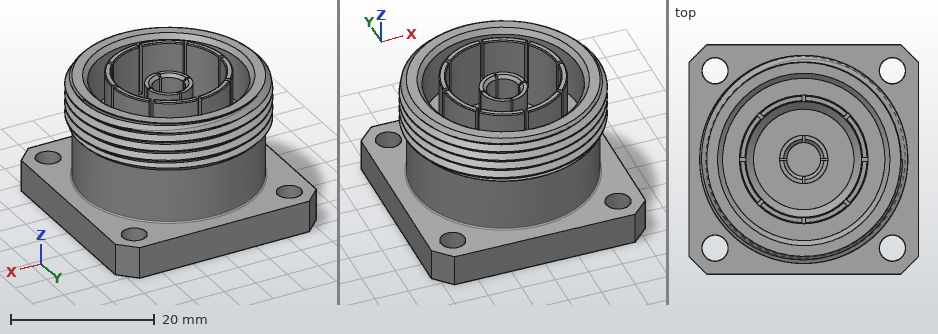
import cadquery as cq
import math

flange_side = 32.0
flange_height = 4.9
flange_corner = 2.5
mount_hole_diameter = 3.61
mount_hole_spacing = 24.7

barrel_diameter = 27.0
barrel_fillet = 0.2
barrel_top = 20.85
mouth_diameter = 22.61
mouth_chamfer = 0.7
mouth_floor = 13.2

thread_diameter = 29.0
thread_pitch = 1.5
thread_depth = 0.92
thread_crest_flat = thread_pitch / 8
thread_flank_angle = math.radians(30)
thread_bottom = 13.3
thread_crest_start = 12.12
thread_overlap = 0.15

contact_outer_diameter = 17.91
contact_inner_diameter = 16.1
contact_top = 21.49
contact_edge_chamfer = 0.15
contact_slot_count = 8
contact_slot_width = 0.55
contact_slot_bottom = 13.8
contact_floor = 10.0
contact_floor_diameter = 14.0

pin_diameter = 6.73
pin_bore_diameter = 4.7
pin_bore_chamfer = 0.46
pin_top = 19.6
pin_slot_count = 4
pin_slot_width = 0.28
pin_slot_depth = 7.0


def cylinder(diameter, bottom, top):
    """Upright cylinder on the Z axis between two heights."""
    return cq.Workplane("XY").workplane(offset=bottom).circle(diameter / 2).extrude(top - bottom)


def make_flange():
    plate = cq.Workplane("XY").rect(flange_side, flange_side).extrude(flange_height)
    plate = plate.edges("|Z").chamfer(flange_corner)
    return (
        plate.faces(">Z")
        .workplane()
        .rect(mount_hole_spacing, mount_hole_spacing, forConstruction=True)
        .vertices()
        .hole(mount_hole_diameter)
    )


def make_thread():
    """Helical ridge on a core, trimmed to the thread length with 45 degree ends."""
    root_radius = thread_diameter / 2 - thread_depth - thread_overlap
    crest_radius = thread_diameter / 2
    depth = crest_radius - root_radius
    half_crest = thread_crest_flat / 2
    half_root = half_crest + depth * math.tan(thread_flank_angle)
    turns = math.ceil((barrel_top - thread_crest_start) / thread_pitch) + 1

    helix = cq.Wire.makeHelix(thread_pitch, turns * thread_pitch, root_radius)
    ridge = (
        cq.Workplane("XZ")
        .polyline(
            [
                (root_radius, -half_root),
                (crest_radius, -half_crest),
                (crest_radius, half_crest),
                (root_radius, half_root),
            ]
        )
        .close()
        .sweep(cq.Workplane(helix), isFrenet=True)
        .translate((0, 0, thread_crest_start - thread_pitch))
    )

    end_chamfer = (thread_diameter - barrel_diameter) / 2
    envelope = cylinder(thread_diameter + 2 * thread_overlap, thread_bottom, barrel_top)
    envelope = envelope.faces("<Z or >Z").edges().chamfer(end_chamfer + thread_overlap)
    core = cylinder(thread_diameter - 2 * thread_depth, thread_bottom, barrel_top)
    return core.intersect(envelope).union(ridge.intersect(envelope))


def make_barrel():
    """Barrel with a small fillet where it meets the flange."""
    foot_radius = barrel_diameter / 2 + barrel_fillet
    barrel_radius = barrel_diameter / 2
    fillet_middle = barrel_fillet * (1 - math.sqrt(0.5))
    return (
        cq.Workplane("XZ")
        .lineTo(foot_radius, 0)
        .lineTo(foot_radius, flange_height)
        .threePointArc(
            (barrel_radius + fillet_middle, flange_height + fillet_middle),
            (barrel_radius, flange_height + barrel_fillet),
        )
        .lineTo(barrel_radius, barrel_top)
        .lineTo(0, barrel_top)
        .close()
        .revolve(360, (0, 0), (0, 1))
    )


def make_mouth():
    """Cutter for the bore of the barrel and its chamfered rim."""
    bore = cylinder(mouth_diameter, mouth_floor, barrel_top)
    rim = (
        cq.Workplane("XY")
        .workplane(offset=barrel_top)
        .circle(mouth_diameter / 2 + mouth_chamfer)
        .workplane(offset=-mouth_chamfer)
        .circle(mouth_diameter / 2)
        .loft()
    )
    return bore.union(rim)


def make_slots(count, width, length, bottom, top):
    """Cutting bars at equal angles, each one making two opposite slots."""
    slots = cq.Workplane("XY")
    for index in range(count // 2):
        slot = cq.Workplane("XY").box(length, width, top - bottom, centered=(True, True, False))
        slot = slot.rotate((0, 0, 0), (0, 0, 1), index * 360 / count)
        slots = slots.union(slot.translate((0, 0, bottom)))
    return slots


def make_outer_contact():
    """Slotted post that the hollow turns into a ring of fingers."""
    post = cylinder(contact_outer_diameter, mouth_floor, contact_top)
    post = post.faces(">Z").edges().chamfer(contact_edge_chamfer)
    return post.cut(
        make_slots(
            contact_slot_count,
            contact_slot_width,
            contact_outer_diameter,
            contact_slot_bottom,
            contact_top,
        )
    )


def make_contact_hollow():
    """Cutter for the hollow of the outer contact, with a 45 degree cone down to its floor."""
    cone_top = contact_floor + (contact_inner_diameter - contact_floor_diameter) / 2
    mouth_radius = contact_inner_diameter / 2
    return (
        cq.Workplane("XZ")
        .moveTo(0, contact_floor)
        .lineTo(contact_floor_diameter / 2, contact_floor)
        .lineTo(mouth_radius, cone_top)
        .lineTo(mouth_radius, contact_top - contact_edge_chamfer)
        .lineTo(mouth_radius + contact_edge_chamfer, contact_top)
        .lineTo(0, contact_top)
        .close()
        .revolve(360, (0, 0), (0, 1))
    )


def make_pin():
    """Centre contact: a slotted tube with a chamfered bore."""
    tube = cylinder(pin_diameter, contact_floor, pin_top).cut(
        cylinder(pin_bore_diameter, contact_floor, pin_top)
    )
    bore_rim = cq.selectors.RadiusNthSelector(0)
    tube = tube.faces(">Z").edges(bore_rim).chamfer(pin_bore_chamfer)
    slot_bottom = pin_top - pin_slot_depth
    return tube.cut(make_slots(pin_slot_count, pin_slot_width, pin_diameter, slot_bottom, pin_top))


body = make_flange().union(make_barrel()).union(make_thread())
body = body.cut(make_mouth()).union(make_outer_contact())
result = body.cut(make_contact_hollow()).union(make_pin())